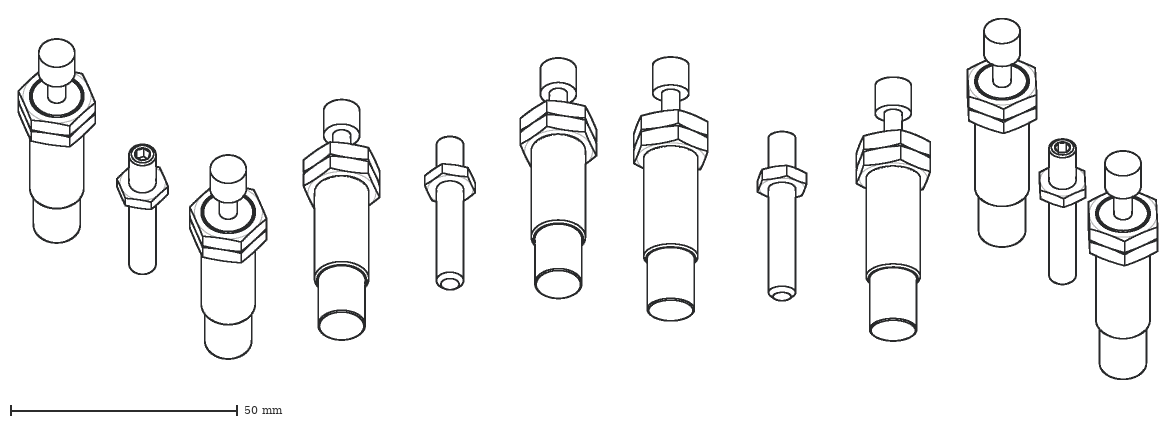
import cadquery as cq
import math

absorber_spacing = 50.0
body_length = 46.0
thread_diameter = 12.0
thread_end_diameter = 10.92
seat_diameter = (thread_diameter + thread_end_diameter) / 2
tail_diameter = 10.4
tail_length = 13.0
shoulder_chamfer = 0.5
tail_chamfer = 0.3
rod_diameter = 4.0
cap_diameter = 8.0
cap_bottom = 54.3
cap_edge = 61.3
cap_top = 62.3

lock_nut_flats = 15.0
lock_nut_height = 4.0
lock_nut_count = 2
seat_bottom = body_length - lock_nut_count * lock_nut_height

screw_diameter = 6.0
screw_end_diameter = 4.92
screw_end_angle = 30
screw_length = 40.0
screw_bottom = body_length - screw_length
screw_tip_diameter = 4.0
socket_flats = 3.0
socket_depth = 3.0

screw_nut_flats = 10.0
screw_nut_height = 3.0
screw_nut_bottom = 33.0

nut_chamfer_angle = math.radians(15)
hexagon_corner_ratio = 2 / math.sqrt(3)


def make_absorber():
    """Threaded body, plunger rod and domed cap, turned about Z."""
    thread_radius = thread_diameter / 2
    tail_radius = tail_diameter / 2
    end_radius = thread_end_diameter / 2
    seat_radius = seat_diameter / 2
    end_chamfer = seat_radius - end_radius
    rod_radius = rod_diameter / 2
    cap_radius = cap_diameter / 2

    dome_height = cap_top - cap_edge
    dome_radius = (cap_radius**2 + dome_height**2) / (2 * dome_height)
    dome_center = cap_top - dome_radius
    half_radius = cap_radius / 2
    dome_middle = (half_radius, dome_center + math.sqrt(dome_radius**2 - half_radius**2))

    return (
        cq.Workplane("XZ")
        .moveTo(0, 0)
        .lineTo(tail_radius - tail_chamfer, 0)
        .lineTo(tail_radius, tail_chamfer)
        .lineTo(tail_radius, tail_length)
        .lineTo(thread_radius - shoulder_chamfer, tail_length)
        .lineTo(thread_radius, tail_length + shoulder_chamfer)
        .lineTo(thread_radius, seat_bottom)
        .lineTo(seat_radius, seat_bottom)
        .lineTo(seat_radius, body_length - end_chamfer)
        .lineTo(end_radius, body_length)
        .lineTo(rod_radius, body_length)
        .lineTo(rod_radius, cap_bottom)
        .lineTo(cap_radius, cap_bottom)
        .lineTo(cap_radius, cap_edge)
        .threePointArc(dome_middle, (0, cap_top))
        .close()
        .revolve(360, (0, 0), (0, 1))
    )


def make_nut(flats, height, bore):
    """Hexagon nut from Z = 0 up, flats facing X, corners chamfered at both ends."""
    corner_radius = flats * hexagon_corner_ratio / 2
    face_radius = flats / 2
    chamfer_height = (corner_radius - face_radius) * math.tan(nut_chamfer_angle)
    blank = (
        cq.Workplane("XY")
        .polygon(6, 2 * corner_radius)
        .extrude(height)
        .rotate((0, 0, 0), (0, 0, 1), 30)
    )
    chamfer_envelope = (
        cq.Workplane("XZ")
        .moveTo(0, 0)
        .lineTo(face_radius, 0)
        .lineTo(corner_radius, chamfer_height)
        .lineTo(corner_radius, height - chamfer_height)
        .lineTo(face_radius, height)
        .lineTo(0, height)
        .close()
        .revolve(360, (0, 0), (0, 1))
    )
    hole = cq.Workplane("XY").circle(bore / 2).extrude(height)
    return blank.intersect(chamfer_envelope).cut(hole)


def make_lock_nut():
    """Nut with a 45 degree countersink at the top, opening to the thread diameter."""
    countersink_taper = 45
    countersink_depth = (thread_diameter - seat_diameter) / 2
    countersink = (
        cq.Workplane("XY", origin=(0, 0, lock_nut_height))
        .circle(thread_diameter / 2)
        .extrude(-countersink_depth, taper=countersink_taper)
    )
    return make_nut(lock_nut_flats, lock_nut_height, seat_diameter).cut(countersink)


def make_stop_screw():
    """Headless screw with a chamfered top, a tapered tip and a countersunk hexagon socket."""
    screw_radius = screw_diameter / 2
    end_radius = screw_end_diameter / 2
    tip_radius = screw_tip_diameter / 2
    screw_top = screw_bottom + screw_length
    end_slope = math.tan(math.radians(screw_end_angle))
    end_chamfer_height = (screw_radius - end_radius) * end_slope
    tip_chamfer = screw_radius - tip_radius
    shank = (
        cq.Workplane("XZ")
        .moveTo(0, screw_bottom)
        .lineTo(tip_radius, screw_bottom)
        .lineTo(screw_radius, screw_bottom + tip_chamfer)
        .lineTo(screw_radius, screw_top - end_chamfer_height)
        .lineTo(end_radius, screw_top)
        .lineTo(0, screw_top)
        .close()
        .revolve(360, (0, 0), (0, 1))
    )
    socket_corners = socket_flats * hexagon_corner_ratio
    socket = (
        cq.Workplane("XY", origin=(0, 0, screw_top))
        .polygon(6, socket_corners)
        .extrude(-socket_depth)
    )
    countersink_depth = (socket_corners - socket_flats) / 2 * end_slope
    countersink = (
        cq.Workplane("XY", origin=(0, 0, screw_top))
        .circle(socket_corners / 2)
        .extrude(-countersink_depth, taper=90 - screw_end_angle)
    )
    return shank.cut(socket).cut(countersink)


solids = []

for side in (-1, 1):
    absorber_x = side * absorber_spacing / 2
    absorber = make_absorber().translate((absorber_x, 0, 0))
    solids.append(absorber.val())
    for position in range(lock_nut_count):
        nut_bottom = body_length - (position + 1) * lock_nut_height
        lock_nut = make_lock_nut()
        lock_nut = lock_nut.translate((absorber_x, 0, nut_bottom))
        solids.append(lock_nut.val())

stop_screw = make_stop_screw()
solids.append(stop_screw.val())

screw_nut = make_nut(screw_nut_flats, screw_nut_height, screw_diameter)
screw_nut = screw_nut.translate((0, 0, screw_nut_bottom))
solids.append(screw_nut.val())

result = cq.Compound.makeCompound(solids)